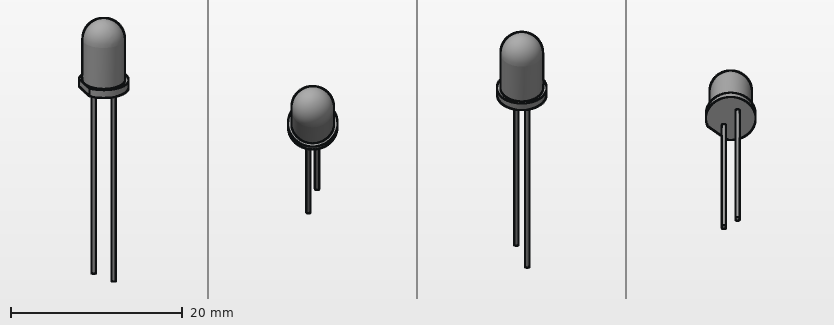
import cadquery as cq

lens_diameter = 5.0
lens_radius = lens_diameter / 2
lens_height = 8.7
flange_diameter = 5.8
flange_height = 1.0
flat_offset = lens_radius

lead_diameter = 0.54
lead_pitch = 2.54
long_lead_length = 25.0
short_lead_length = 23.5


def make_lens():
    """Flange, cylinder and dome, with the flange cut flat on its -Y side."""
    shoulder_z = lens_height - lens_radius
    dome_start = (lens_radius, shoulder_z)
    flange = cq.Workplane("XY").circle(flange_diameter / 2).extrude(flange_height)
    flat_cutter = cq.Workplane("XY").box(
        flange_diameter, flange_diameter, flange_height, centered=(True, False, False)
    ).translate((0, -flat_offset - flange_diameter, 0))
    barrel = (
        cq.Workplane("XZ")
        .lineTo(lens_radius, 0)
        .lineTo(*dome_start)
        .radiusArc((0, lens_height), -lens_radius)
        .close()
        .revolve(360, (0, 0, 0), (0, 1, 0))
    )
    return flange.cut(flat_cutter).union(barrel)


def make_lead(y, length):
    """Round wire hanging from the underside of the lens."""
    return cq.Workplane("XY").center(0, y).circle(lead_diameter / 2).extrude(-length)


lens = make_lens()
lead_layout = [
    (lead_pitch / 2, long_lead_length),
    (-lead_pitch / 2, short_lead_length),
]
leads = [make_lead(y, length) for y, length in lead_layout]

result = cq.Compound.makeCompound([lens.val(), *[lead.val() for lead in leads]])